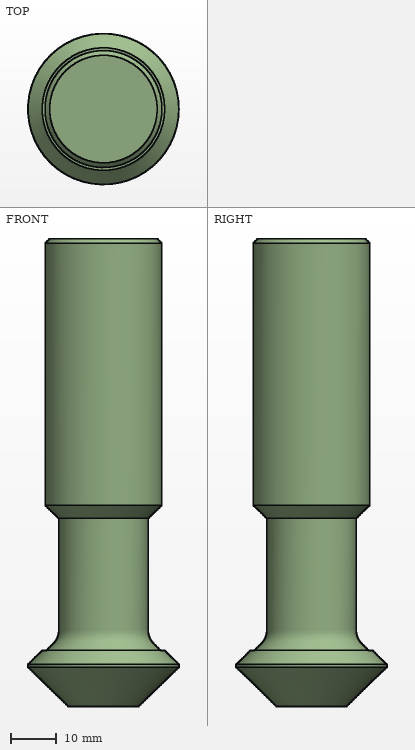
import cadquery as cq
import math

TOTAL_LENGTH = 101.8
SHANK_RADIUS = 12.7
TOP_CHAMFER = 1.0
SHANK_BOTTOM_Z = 43.8
NECK_RADIUS = 9.8
NECK_TOP_Z = 40.9
FILLET_START_Z = 16.5
FILLET_RADIUS = 3.9
PAD_FOOT_RADIUS = 7.6
PAD_RIM_RADIUS = 16.43
PAD_RIM_BOTTOM_Z = 8.5
PAD_RIM_TOP_Z = 9.2
PAD_TOP_RADIUS = 13.3
PAD_TOP_Z = 12.2

FLARE_ANGLE = math.radians(45)


def flare_point(angle):
    """Radius and height on the flare arc after turning through the angle."""
    centre_radius = NECK_RADIUS + FILLET_RADIUS
    return (
        centre_radius - FILLET_RADIUS * math.cos(angle),
        FILLET_START_Z - FILLET_RADIUS * math.sin(angle),
    )


FLARE_MID = flare_point(FLARE_ANGLE / 2)
FLARE_END = flare_point(FLARE_ANGLE)
STUD_FOOT_RADIUS = FLARE_END[0] + (FLARE_END[1] - PAD_TOP_Z) * math.tan(FLARE_ANGLE)


def revolve_about_z(profile):
    """Close a radius-height profile and turn it through a full circle about Z."""
    return profile.close().revolve(360, (0, 0, 0), (0, 1, 0))


def make_stud():
    """Chamfered shank, narrower neck and flared lower end."""
    profile = (
        cq.Workplane("XZ")
        .moveTo(0, PAD_TOP_Z)
        .lineTo(STUD_FOOT_RADIUS, PAD_TOP_Z)
        .lineTo(*FLARE_END)
        .threePointArc(FLARE_MID, (NECK_RADIUS, FILLET_START_Z))
        .lineTo(NECK_RADIUS, NECK_TOP_Z)
        .lineTo(SHANK_RADIUS, SHANK_BOTTOM_Z)
        .lineTo(SHANK_RADIUS, TOTAL_LENGTH - TOP_CHAMFER)
        .lineTo(SHANK_RADIUS - TOP_CHAMFER, TOTAL_LENGTH)
        .lineTo(0, TOTAL_LENGTH)
    )
    return revolve_about_z(profile)


def make_pad():
    """Double-cone pad with a narrow cylindrical rim."""
    profile = (
        cq.Workplane("XZ")
        .moveTo(0, 0)
        .lineTo(PAD_FOOT_RADIUS, 0)
        .lineTo(PAD_RIM_RADIUS, PAD_RIM_BOTTOM_Z)
        .lineTo(PAD_RIM_RADIUS, PAD_RIM_TOP_Z)
        .lineTo(PAD_TOP_RADIUS, PAD_TOP_Z)
        .lineTo(0, PAD_TOP_Z)
    )
    return revolve_about_z(profile)


stud = make_stud()
pad = make_pad()

result = cq.Compound.makeCompound([stud.val(), pad.val()])